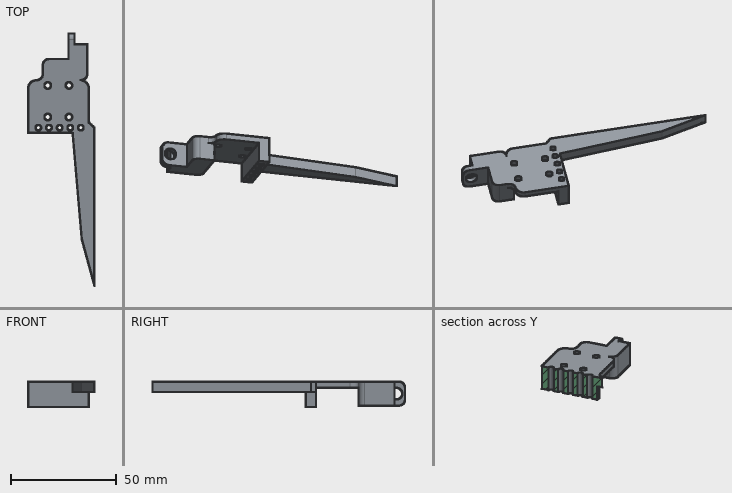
import cadquery as cq
import math

plate_width = 28.8
plate_length = 25.0
plate_thickness = 3.0
plate_corner_radius = 3.9

bar_length = 5.0
bar_height = 12.0

block_left = 6.9
block_right = 28.0
block_shoulder = 35.0
block_back = 42.0
block_height = 11.5
block_radius = 3.0
web_radius = block_left - plate_corner_radius

lug_left = 19.1
lug_width = 2.9
lug_back = 47.0
lug_radius = 3.0
lug_hole_y = 43.0
lug_hole_diameter = 5.4

overall_length = 119.4
arm_thickness = 5.0
arm_left = 21.0
arm_right = 31.4
arm_shoulder = 2.5
arm_kink_x = 25.3
arm_kink_y = -50.0
arm_tip_y = lug_back - overall_length

mount_hole_diameter = 3.0
mount_hole_xs = (9.3, 19.3)
mount_hole_ys = (7.5, 22.5)
row_hole_diameter = 2.5
row_hole_count = 5
row_pitch = 5.0
row_first_x = 4.9
row_y = bar_length / 2


def box_below_top(x_min, x_max, y_min, y_max, height):
    """Box whose upper face lies on Z = 0."""
    return (
        cq.Workplane("XY")
        .box(x_max - x_min, y_max - y_min, height, centered=False)
        .translate((x_min, y_min, -height))
    )


def make_plate():
    plate = box_below_top(0, plate_width, 0, plate_length, plate_thickness)
    return plate.edges("|Z and >Y").fillet(plate_corner_radius)


def make_bar():
    return box_below_top(0, plate_width, 0, bar_length, bar_height)


def make_block():
    """Stepped block, rounded at its left shoulder and its right front corner."""
    diagonal = block_radius * math.sqrt(0.5)
    shoulder_center = (block_left + block_radius, block_shoulder - block_radius)
    front_center = (block_right - block_radius, plate_length + block_radius)
    return (
        cq.Workplane("XY")
        .moveTo(block_left, plate_length)
        .lineTo(block_left, shoulder_center[1])
        .threePointArc(
            (shoulder_center[0] - diagonal, shoulder_center[1] + diagonal),
            (shoulder_center[0], block_shoulder),
        )
        .lineTo(lug_left, block_shoulder)
        .lineTo(lug_left, block_back)
        .lineTo(block_right, block_back)
        .lineTo(block_right, front_center[1])
        .threePointArc(
            (front_center[0] + diagonal, front_center[1] - diagonal),
            (front_center[0], plate_length),
        )
        .close()
        .extrude(-block_height)
    )


def make_web():
    """Concave fillet, as thick as the plate, between plate and block side."""
    web = box_below_top(
        block_left - web_radius, block_left, plate_length, plate_length + web_radius, plate_thickness
    )
    scoop = (
        cq.Workplane("XY")
        .center(block_left - web_radius, plate_length + web_radius)
        .circle(web_radius)
        .extrude(-plate_thickness)
    )
    return web.cut(scoop)


def make_lug():
    lug = box_below_top(lug_left, lug_left + lug_width, block_shoulder, lug_back, block_height)
    return lug.edges("|X and >Y").fillet(lug_radius)


def make_lug_hole():
    """Cross hole through the lug, stopping at its right face."""
    return (
        cq.Workplane("YZ", origin=(lug_left, 0, 0))
        .center(lug_hole_y, -block_height / 2)
        .circle(lug_hole_diameter / 2)
        .extrude(lug_width)
    )


def make_arm():
    """Arm rooted in the bar, with a sloped shoulder widening it beyond the plate."""
    outline = [
        (arm_left, 0),
        (arm_kink_x, arm_kink_y),
        (arm_right, arm_tip_y),
        (arm_right, arm_shoulder),
        (plate_width, bar_length),
        (arm_left, bar_length),
    ]
    return cq.Workplane("XY").polyline(outline).close().extrude(-arm_thickness)


def make_vertical_holes(points, diameter):
    return cq.Workplane("XY").pushPoints(points).circle(diameter / 2).extrude(-bar_height)


mount_points = [(x, y) for x in mount_hole_xs for y in mount_hole_ys]
row_points = [(row_first_x + i * row_pitch, row_y) for i in range(row_hole_count)]

result = (
    make_plate()
    .union(make_bar())
    .union(make_block())
    .union(make_web())
    .union(make_lug())
    .union(make_arm())
    .cut(make_lug_hole())
    .cut(make_vertical_holes(mount_points, mount_hole_diameter))
    .cut(make_vertical_holes(row_points, row_hole_diameter))
)